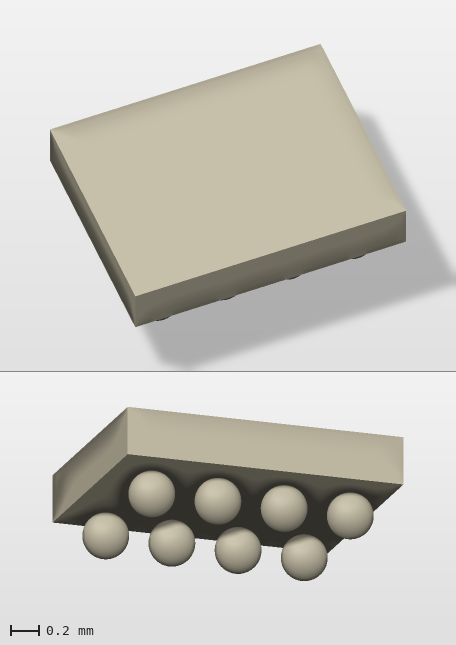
import cadquery as cq

BODY_WIDTH = 1.63
BODY_LENGTH = 2.08
TOTAL_HEIGHT = 0.69

BALL_DIAMETER = 0.335
BALL_COLUMNS = 2
BALL_ROWS = 4
ROW_PITCH = 0.5
COLUMN_PITCH = 2 * ROW_PITCH

MARKER_DIAMETER = 0.081
MARKER_DEPTH = 0.01
MARKER_EDGE_DISTANCE = 0.16

BODY_THICKNESS = TOTAL_HEIGHT - BALL_DIAMETER
BODY_BOTTOM = BALL_DIAMETER
MARKER_X = -BODY_WIDTH / 2 + MARKER_EDGE_DISTANCE
MARKER_Y = BODY_LENGTH / 2 - MARKER_EDGE_DISTANCE


def make_marker():
    """Disc whose top face is level with the top of the body."""
    return (
        cq.Workplane("XY", origin=(MARKER_X, MARKER_Y, TOTAL_HEIGHT - MARKER_DEPTH))
        .circle(MARKER_DIAMETER / 2)
        .extrude(MARKER_DEPTH)
    )


def make_body(marker):
    """Rectangular package with a recess matching the marker."""
    block = (
        cq.Workplane("XY", origin=(0, 0, BODY_BOTTOM))
        .rect(BODY_WIDTH, BODY_LENGTH)
        .extrude(BODY_THICKNESS)
    )
    return block.cut(marker)


def make_ball(column, row):
    """Solder ball at one place of a grid centred under the body."""
    x = (column - (BALL_COLUMNS - 1) / 2) * COLUMN_PITCH
    y = (row - (BALL_ROWS - 1) / 2) * ROW_PITCH
    return cq.Workplane("XY", origin=(x, y, BALL_DIAMETER / 2)).sphere(BALL_DIAMETER / 2)


marker = make_marker()
body = make_body(marker)
balls = [
    make_ball(column, row)
    for column in range(BALL_COLUMNS)
    for row in range(BALL_ROWS)
]

result = cq.Compound.makeCompound([body.val(), marker.val(), *[ball.val() for ball in balls]])